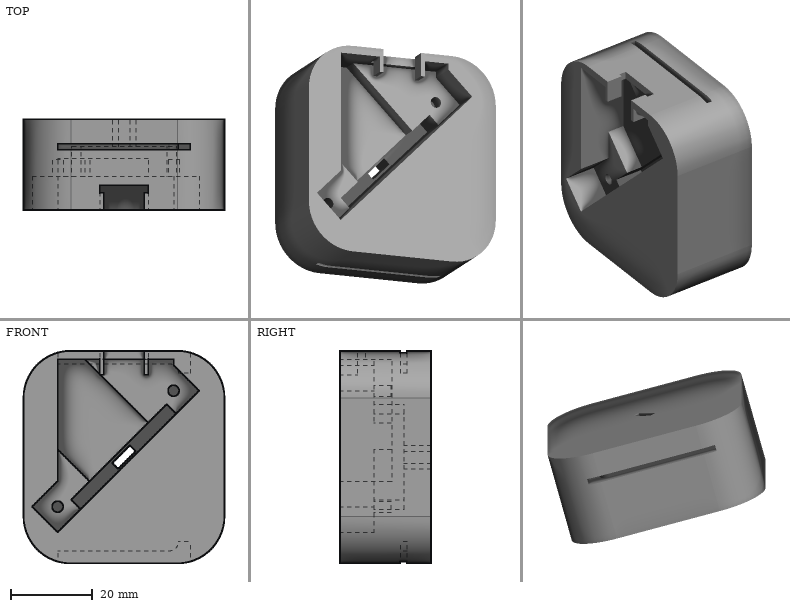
import cadquery as cq
import math

WIDTH = 49.1
DEPTH = 22.2
HEIGHT = 51.9
CORNER_RADIUS = 11.5
FRONT_Y = -DEPTH / 2

POCKET_DEPTH = 8.25
POCKET_LEFT = -16.2
POCKET_RIGHT = 12.1
POCKET_TOP = 23.9
ARM_HALF_WIDTH = 4.4
ARM_END_MARGIN = 4.4
DIAGONAL_ANGLE = 45

SCREW_SPACING = (POCKET_RIGHT - POCKET_LEFT) * math.sqrt(2)
SCREW_HOLE_DIAMETER = 2.7
SCREW_HOLE_DEPTH = 4.15
ARM_CENTRE_X = (POCKET_LEFT + POCKET_RIGHT) / 2
ARM_CENTRE_Z = -ARM_CENTRE_X

CHANNEL_WIDTH = 20.25
CHANNEL_DEPTH = 12.65
TROUGH_LENGTH = 32.95
TROUGH_WIDTH = 3.25
TROUGH_DEPTH = 15.55
WINDOW_LENGTH = 6.05
WINDOW_WIDTH = 1.95

OPENING_WIDTH = 11.9
OPENING_DEPTH = 6.1
TAB_THICKNESS = 1.0
TAB_DEPTH = 4.2
TAB_BOTTOM = 20.1

GROOVE_LENGTH = 32.4
GROOVE_WIDTH = 1.55
GROOVE_FRONT = 14.7
GROOVE_DEPTH = 3.1
STEP_X = 13.25
STEP_RADIUS = 2.3


def front_plane(x=0.0, z=0.0, setback=0.0, angle=0.0):
    """Sketch plane parallel to the front face, turned by angle from +X towards +Z."""
    a = math.radians(angle)
    return cq.Workplane(
        cq.Plane(
            origin=(x, FRONT_Y + setback, z),
            xDir=(math.cos(a), 0, math.sin(a)),
            normal=(0, -1, 0),
        )
    )


def front_box(x_min, x_max, z_min, z_max, depth):
    """Upright box reaching back from the front face."""
    x = (x_min + x_max) / 2
    z = (z_min + z_max) / 2
    return front_plane(x, z).rect(x_max - x_min, z_max - z_min).extrude(-depth)


def diagonal_strip(length, low, high, depth):
    """Box along the diagonal; low and high are distances across it from the origin."""
    middle = (low + high) / 2
    sketch = front_plane(angle=DIAGONAL_ANGLE).center(0, middle)
    return sketch.rect(length, high - low).extrude(-depth)


ARM_OFFSET = ARM_CENTRE_Z * math.sqrt(2)
ARM_LOW = ARM_OFFSET - ARM_HALF_WIDTH
TROUGH_HIGH = ARM_LOW + TROUGH_WIDTH


def corner_recess(depth):
    """Right-angled recess under the top wall, cut off by the lower side of the arm."""
    corner_z = POCKET_LEFT + ARM_LOW * math.sqrt(2)
    right_z = POCKET_RIGHT + ARM_LOW * math.sqrt(2)
    outline = [
        (POCKET_LEFT, corner_z),
        (POCKET_RIGHT, right_z),
        (POCKET_RIGHT, POCKET_TOP),
        (POCKET_LEFT, POCKET_TOP),
    ]
    return front_plane().polyline(outline).close().extrude(-depth)


def main_pocket():
    arm_length = SCREW_SPACING + 2 * ARM_END_MARGIN
    arm = diagonal_strip(arm_length, ARM_LOW, ARM_LOW + 2 * ARM_HALF_WIDTH, POCKET_DEPTH)
    return corner_recess(POCKET_DEPTH).union(arm)


def channel():
    band = diagonal_strip(CHANNEL_WIDTH, TROUGH_HIGH, HEIGHT, CHANNEL_DEPTH)
    return band.intersect(corner_recess(CHANNEL_DEPTH))


def screw_holes():
    return (
        front_plane(ARM_CENTRE_X, ARM_CENTRE_Z, POCKET_DEPTH, DIAGONAL_ANGLE)
        .pushPoints([(-SCREW_SPACING / 2, 0), (SCREW_SPACING / 2, 0)])
        .circle(SCREW_HOLE_DIAMETER / 2)
        .extrude(-SCREW_HOLE_DEPTH)
    )


def connector_opening():
    half = OPENING_WIDTH / 2
    return front_box(-half, half, TAB_BOTTOM, HEIGHT / 2, OPENING_DEPTH)


def retaining_tab(side):
    outer = side * OPENING_WIDTH / 2
    inner = outer - side * TAB_THICKNESS
    return front_box(min(outer, inner), max(outer, inner), TAB_BOTTOM, HEIGHT / 2, TAB_DEPTH)


def top_groove():
    """Groove whose floor rounds over into a deeper well at its +X end."""
    half = GROOVE_LENGTH / 2
    top = HEIGHT / 2
    floor = top - GROOVE_DEPTH
    well_floor = floor - STEP_RADIUS
    diagonal = STEP_RADIUS * math.sqrt(0.5)
    arc_middle = (STEP_X - STEP_RADIUS + diagonal, well_floor + diagonal)
    return (
        front_plane(setback=GROOVE_FRONT)
        .moveTo(-half, top)
        .lineTo(-half, floor)
        .lineTo(STEP_X - STEP_RADIUS, floor)
        .threePointArc(arc_middle, (STEP_X, well_floor))
        .lineTo(half, well_floor)
        .lineTo(half, top)
        .close()
        .extrude(-GROOVE_WIDTH)
    )


body = front_plane().rect(WIDTH, HEIGHT).extrude(-DEPTH).edges("|Y").fillet(CORNER_RADIUS)

body = body.cut(main_pocket()).cut(channel())
body = body.cut(diagonal_strip(TROUGH_LENGTH, ARM_LOW, TROUGH_HIGH, TROUGH_DEPTH))
body = body.cut(diagonal_strip(WINDOW_LENGTH, -WINDOW_WIDTH / 2, WINDOW_WIDTH / 2, DEPTH))
body = body.cut(screw_holes())

body = body.cut(connector_opening())
for side in (-1, 1):
    body = body.union(retaining_tab(side))

groove = top_groove()
body = body.cut(groove).cut(groove.mirror("XY"))

result = body